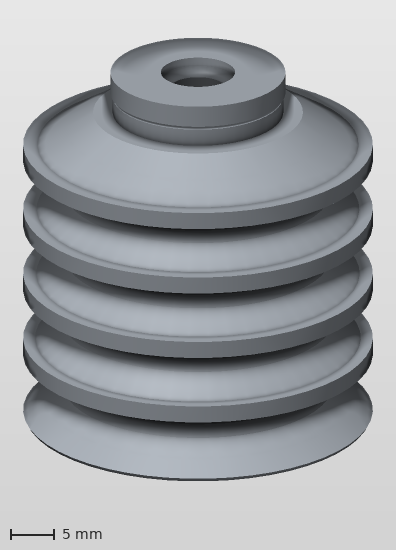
import cadquery as cq

height = 42.4
outer_radius = 40.0 / 2

cap_radius = 20.0 / 2
cap_thickness = 2.5
neck_top_radius = 7.0
neck_radius = 13.5 / 2
neck_height = 0.45
collar_radius = 19.5 / 2
collar_height = 2.0
shoulder_radius = 12.0
shoulder_height = 4.0

flange_thickness = 2.0
flange_pitch = 8.0
flange_top_seat_radii = [18.35, 18.45, 18.5, 18.6]
flange_underside_radius = 18.45

valley_root_radii = [15.0, 15.0, 15.3, 15.15]
valley_upper_drops = [2.2, 2.2, 2.08, 2.2]
valley_round_heights = [1.55, 1.65, 1.55, 1.7]
valley_round_depth = 0.25

lip_height = 0.42
lip_base_radius = 19.75

bore_radius = 6.5 / 2
counterbore_radius = 8.5 / 2
counterbore_depth = 1.0

cap_bottom = height - cap_thickness
collar_top = cap_bottom - neck_height
collar_bottom = collar_top - collar_height
first_flange_top = collar_bottom - shoulder_height


def draw_valley(outline, flange_bottom, root_radius, upper_drop, round_height):
    """Continue the outline from a flange underside through the rounded valley below it."""
    round_top = flange_bottom - upper_drop
    round_bottom = round_top - round_height
    edge_radius = root_radius + valley_round_depth
    root_z = (round_top + round_bottom) / 2
    return (
        outline.lineTo(flange_underside_radius, flange_bottom)
        .lineTo(edge_radius, round_top)
        .threePointArc((root_radius, root_z), (edge_radius, round_bottom))
    )


def make_body():
    """Revolve the outer outline, drawn from the top of the axis downwards."""
    outline = (
        cq.Workplane("XZ")
        .moveTo(0, height)
        .lineTo(cap_radius, height)
        .lineTo(cap_radius, cap_bottom)
        .lineTo(neck_top_radius, cap_bottom)
        .lineTo(neck_radius, collar_top)
        .lineTo(collar_radius, collar_top)
        .lineTo(collar_radius, collar_bottom)
        .lineTo(shoulder_radius, collar_bottom)
    )
    for index in range(len(valley_root_radii)):
        flange_top = first_flange_top - index * flange_pitch
        flange_bottom = flange_top - flange_thickness
        outline = (
            outline.lineTo(flange_top_seat_radii[index], flange_top)
            .lineTo(outer_radius, flange_top)
            .lineTo(outer_radius, flange_bottom)
        )
        outline = draw_valley(
            outline,
            flange_bottom,
            valley_root_radii[index],
            valley_upper_drops[index],
            valley_round_heights[index],
        )
    outline = outline.lineTo(outer_radius, lip_height).lineTo(lip_base_radius, 0).lineTo(0, 0)
    return outline.close().revolve(360, (0, 0, 0), (0, 1, 0))


def make_bore():
    """Revolve the bore, whose counterbore floor curves inwards as a quarter round."""
    round_radius = counterbore_radius - bore_radius
    wall_bottom = height - counterbore_depth
    round_bottom = wall_bottom - round_radius
    return (
        cq.Workplane("XZ")
        .moveTo(0, height)
        .lineTo(counterbore_radius, height)
        .lineTo(counterbore_radius, wall_bottom)
        .radiusArc((bore_radius, round_bottom), round_radius)
        .lineTo(bore_radius, 0)
        .lineTo(0, 0)
        .close()
        .revolve(360, (0, 0, 0), (0, 1, 0))
    )


result = make_body().cut(make_bore())